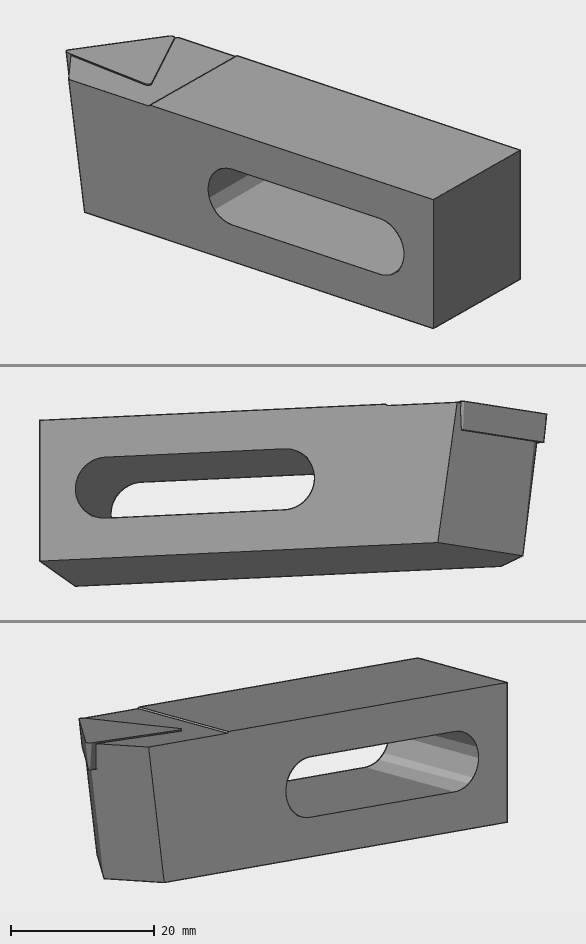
import cadquery as cq
import math

LENGTH = 69.7
WIDTH = 20.0
HEIGHT = 20.0

SLOT_START = 30.1
SLOT_END = 64.5
SLOT_HEIGHT = 8.65

NOSE_ANGLE = 55.0
NOSE_Y = 7.2
NOSE_BASE_X = 3.35
FLANK_RELIEF = 6.6
NOSE_TOP_RADIUS = 1.75
NOSE_BASE_RADIUS = 0.035
HEAD_LENGTH = 19.85
HEAD_DROP = 0.2

INSERT_SIDE = 16.65
INSERT_THICKNESS = 4.0
INSERT_RELIEF = 6.0
INSERT_CORNER_RADIUS = 0.55
INSERT_TIP_Y = 6.4
INSERT_CORNERS = 3
INSERT_CORNER = 180 / INSERT_CORNERS


def polar(point, distance, angle):
    """Point at a distance and an angle in degrees from another point."""
    return (
        point[0] + distance * math.cos(math.radians(angle)),
        point[1] + distance * math.sin(math.radians(angle)),
    )


def rounded_corner(corner, low_angle, high_angle, radius):
    """Start, middle and end of the arc rounding a corner between two edge directions."""
    half_angle = (high_angle - low_angle) / 2
    bisector = (high_angle + low_angle) / 2
    tangent = radius / math.tan(math.radians(half_angle))
    apex_gap = radius / math.sin(math.radians(half_angle)) - radius
    return (
        polar(corner, tangent, high_angle),
        polar(corner, apex_gap, bisector),
        polar(corner, tangent, low_angle),
    )


def ruled_solid(lower_wire, upper_wire):
    """Solid with straight-ruled sides between two outlines."""
    return cq.Workplane(cq.Solid.makeLoft([lower_wire, upper_wire], True))


def holder_outline(z, nose_x, radius):
    """Plan outline of the holder at one level."""
    corner = (nose_x, NOSE_Y)
    start, middle, end = rounded_corner(corner, -NOSE_ANGLE, NOSE_ANGLE, radius)
    flank_slope = math.tan(math.radians(NOSE_ANGLE))
    front_x = nose_x + NOSE_Y / flank_slope
    back_x = nose_x + (WIDTH - NOSE_Y) / flank_slope
    return (
        cq.Workplane("XY", origin=(0, 0, z))
        .moveTo(*start)
        .threePointArc(middle, end)
        .lineTo(front_x, 0)
        .lineTo(LENGTH, 0)
        .lineTo(LENGTH, WIDTH)
        .lineTo(back_x, WIDTH)
        .close()
        .val()
    )


def insert_outline(z, inset, radius):
    """Equilateral triangle with rounded corners, moved in from the full size by the inset."""
    half_corner = math.radians(INSERT_CORNER / 2)
    bisector = NOSE_ANGLE - INSERT_CORNER / 2
    full_centre_gap = INSERT_CORNER_RADIUS / math.sin(half_corner)
    tip_x = INSERT_CORNER_RADIUS - full_centre_gap * math.cos(math.radians(bisector))
    corner = polar((tip_x, INSERT_TIP_Y), inset / math.sin(half_corner), bisector)
    side = INSERT_SIDE - 2 * inset / math.tan(half_corner)

    outline = cq.Workplane("XY", origin=(0, 0, z))
    edge_angle = NOSE_ANGLE - INSERT_CORNER
    for index in range(INSERT_CORNERS):
        start, middle, end = rounded_corner(corner, edge_angle, edge_angle + INSERT_CORNER, radius)
        outline = outline.moveTo(*start) if index == 0 else outline.lineTo(*start)
        outline = outline.threePointArc(middle, end)
        corner = polar(corner, side, edge_angle)
        edge_angle += 180 - INSERT_CORNER
    return outline.close().val()


def make_insert():
    """Insert tapering downward, flush with the top of the shank."""
    inset = INSERT_THICKNESS * math.tan(math.radians(INSERT_RELIEF))
    return ruled_solid(
        insert_outline(HEIGHT - INSERT_THICKNESS, inset, INSERT_CORNER_RADIUS - inset),
        insert_outline(HEIGHT, 0, INSERT_CORNER_RADIUS),
    )


def make_head_step():
    """Cutter that lowers the head, ending in a 45 degree ramp up to the shank."""
    return (
        cq.Workplane("XZ")
        .moveTo(0, HEIGHT - HEAD_DROP)
        .lineTo(HEAD_LENGTH - HEAD_DROP, HEIGHT - HEAD_DROP)
        .lineTo(HEAD_LENGTH, HEIGHT)
        .lineTo(0, HEIGHT)
        .close()
        .extrude(-WIDTH)
    )


def make_slot():
    """Round-ended slot cutter running through the full width."""
    return (
        cq.Workplane("XZ")
        .center((SLOT_START + SLOT_END) / 2, HEIGHT / 2)
        .slot2D(SLOT_END - SLOT_START, SLOT_HEIGHT)
        .extrude(-WIDTH)
    )


def make_holder(insert):
    """Shank with its relieved nose, lowered head, slot and matching insert pocket."""
    flank_lean = HEIGHT * math.tan(math.radians(FLANK_RELIEF))
    nose_top_x = NOSE_BASE_X - flank_lean / math.sin(math.radians(NOSE_ANGLE))
    blank = ruled_solid(
        holder_outline(0, NOSE_BASE_X, NOSE_BASE_RADIUS),
        holder_outline(HEIGHT, nose_top_x, NOSE_TOP_RADIUS),
    )
    return blank.cut(make_head_step()).cut(make_slot()).cut(insert)


insert = make_insert()
holder = make_holder(insert)

result = cq.Compound.makeCompound([holder.val(), insert.val()])